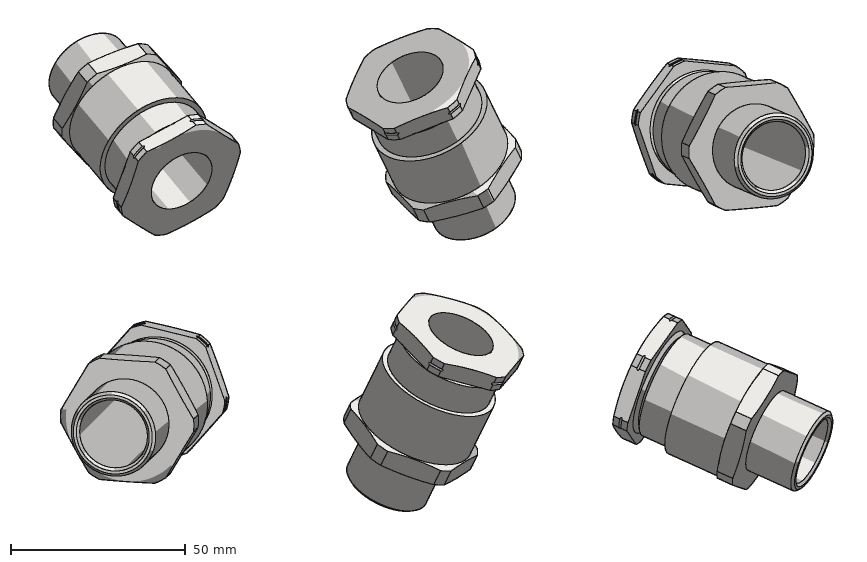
import cadquery as cq

total_length = 55.2
hex_start = 15.4
hex_end = 21.5
body_end = 38.95
neck_chamfer_start = 48.15
groove_bottom = 49.2
nut_start = 50.1

bore_radius = 10.05
spigot_radius = 12.55
body_radius = 17.6
neck_radius = 16.0
groove_radius = 14.45

rim_length = 0.8
rim_outer_radius = spigot_radius - 0.85
rim_inner_radius = bore_radius + 0.8

across_flats = 36.0
corner_radius = 19.79
wrench_start_chamfer = 0.4
wrench_end_chamfer = 0.6
nut_end_chamfer = 0.45
flat_radius = across_flats / 2
flats_up_turn = 30.0
nut_rotation = 10.0

mark_tube_radius = 0.4
mark_depth = 0.2
mark_position = 52.45


def revolve_about_x(profile):
    return profile.close().revolve(360, (0, 0, 0), (1, 0, 0))


def turned_body():
    """Spigot, main barrel and neck, with the V groove in front of the nut."""
    profile = (
        cq.Workplane("XY")
        .lineTo(0, rim_outer_radius)
        .lineTo(rim_length, spigot_radius)
        .lineTo(hex_start, spigot_radius)
        .lineTo(hex_start, body_radius)
        .lineTo(body_end, body_radius)
        .lineTo(body_end, neck_radius)
        .lineTo(neck_chamfer_start, neck_radius)
        .lineTo(groove_bottom, groove_radius)
        .lineTo(nut_start, neck_radius)
        .lineTo(total_length, neck_radius)
        .lineTo(total_length, 0)
    )
    return revolve_about_x(profile)


def hexagon(start, end, start_chamfer, end_chamfer, end_face_radius):
    """Hexagon with flats facing +Z and -Z, rounded corners and conical chamfers.

    A start_chamfer of zero leaves the start face square.
    """
    prism = (
        cq.Workplane("YZ", origin=(start, 0, 0))
        .transformed(rotate=(0, 0, flats_up_turn))
        .polygon(6, across_flats, circumscribed=True)
        .extrude(end - start)
    )
    envelope = cq.Workplane("XY").moveTo(start, 0)
    if start_chamfer:
        envelope = envelope.lineTo(start, flat_radius)
    envelope = (
        envelope.lineTo(start + start_chamfer, corner_radius)
        .lineTo(end - end_chamfer, corner_radius)
        .lineTo(end, end_face_radius)
        .lineTo(end, 0)
    )
    return prism.intersect(revolve_about_x(envelope))


def marking_ring():
    """Ring that cuts only into the corners of the nut."""
    ring_radius = corner_radius - mark_depth + mark_tube_radius
    return (
        cq.Workplane("XY")
        .center(mark_position, ring_radius)
        .circle(mark_tube_radius)
        .revolve(360, (0, -ring_radius, 0), (1, -ring_radius, 0))
    )


def bore():
    """Through bore with a conical lead-in at the spigot end."""
    profile = (
        cq.Workplane("XY")
        .lineTo(0, rim_inner_radius)
        .lineTo(rim_length, bore_radius)
        .lineTo(total_length, bore_radius)
        .lineTo(total_length, 0)
    )
    return revolve_about_x(profile)


wrench_hex = hexagon(hex_start, hex_end, wrench_start_chamfer, wrench_end_chamfer, body_radius)
nut = (
    hexagon(nut_start, total_length, 0, nut_end_chamfer, flat_radius)
    .cut(marking_ring())
    .rotate((0, 0, 0), (1, 0, 0), nut_rotation)
)

result = turned_body().union(wrench_hex).union(nut).cut(bore())